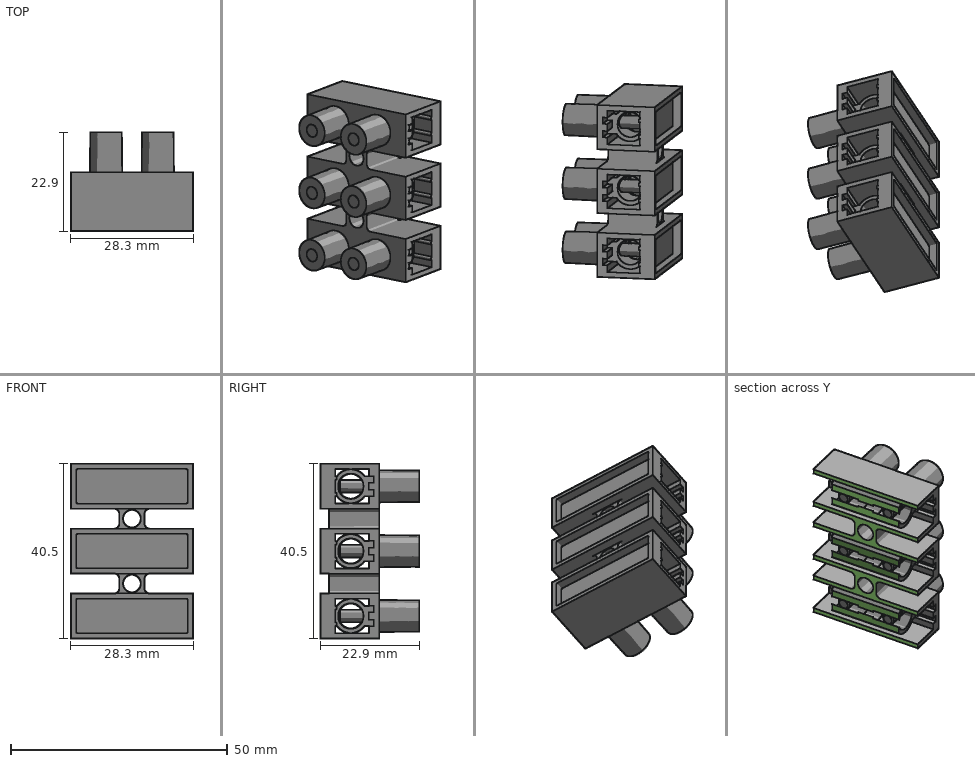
import cadquery as cq

overall_height = 40.45
overall_depth = 22.95
block_width = 28.3
block_depth = 13.68
pole_count = 3
pole_pitch = 15.0
block_height = overall_height - (pole_count - 1) * pole_pitch
wall = 1.2
pole_heights = [(i - (pole_count - 1) / 2) * pole_pitch for i in range(pole_count)]

label_height = block_height - 2 * wall
pocket_depth = 2.0
pocket_corner_radius = 0.4

web_width = 5.9
web_fillet = 1.15
web_gap = pole_pitch - block_height
mounting_hole_diameter = 4.05

passage_front = 3.48
passage_back = 11.2
passage_height = 7.95
groove_depth = 1.17
groove_span = 4.7
tongue_height = 1.65
rib_radius = 0.5
rib_projection = 0.32
rib_offset = 1.9

sleeve_inset = 5.0
sleeve_length = block_width - 2 * sleeve_inset
sleeve_axis_y = 7.05
sleeve_bore_diameter = 5.9
collar_bore_diameter = 5.7
collar_length = 4.05

screw_spacing = 11.98
screw_positions = [-screw_spacing / 2, screw_spacing / 2]
tower_base_diameter = 7.53
tower_top_diameter = 7.35
screw_diameter = 3.0
screw_tip_y = 4.3
screw_tip_chamfer = 0.35
screw_tip_diameter = screw_diameter - 2 * screw_tip_chamfer


def box(length, y_front, y_back, height):
    """Box centred on X and Z that spans y_front to y_back."""
    return cq.Workplane("XY").box(length, y_back - y_front, height).translate((0, (y_front + y_back) / 2, 0))


def rod_along_x(length, diameter, y, z=0):
    """Cylinder along X, centred on x = 0."""
    return cq.Workplane("YZ").center(y, z).circle(diameter / 2).extrude(length / 2, both=True)


def passage_grooves(length):
    """Two grooves behind the passage, with a tongue left between them."""
    groove_back = passage_back + groove_depth
    return box(length, passage_back, groove_back, groove_span).cut(
        box(length, passage_back, groove_back, tongue_height)
    )


def wire_passage(length):
    """Space of the wire passage: a square opening, two grooves and two ribs on the front wall."""
    passage = box(length, passage_front, passage_back, passage_height).union(passage_grooves(length))
    rib_y = passage_front + rib_projection - rib_radius
    for rib_z in (-rib_offset, rib_offset):
        passage = passage.cut(rod_along_x(length, 2 * rib_radius, rib_y, rib_z))
    return passage


def make_screw(x):
    """Plain screw with a chamfered tip, flush with the end of its tower."""
    shank_y = screw_tip_y + screw_tip_chamfer
    profile = [
        (0, screw_tip_y),
        (screw_tip_diameter / 2, screw_tip_y),
        (screw_diameter / 2, shank_y),
        (screw_diameter / 2, overall_depth),
        (0, overall_depth),
    ]
    screw = cq.Workplane("XY").polyline(profile).close().revolve(360, (0, 0, 0), (0, 1, 0))
    return screw.translate((x, 0, 0))


def sleeve_bore():
    """Space of the sleeve bore, slightly narrower inside the collar halfway along it."""
    half_length = sleeve_length / 2
    half_collar = collar_length / 2
    bore = rod_along_x(sleeve_length, collar_bore_diameter, sleeve_axis_y)
    for start in (-half_length, half_collar):
        mouth = (
            cq.Workplane("YZ", origin=(start, sleeve_axis_y, 0))
            .circle(sleeve_bore_diameter / 2)
            .extrude(half_length - half_collar)
        )
        bore = bore.union(mouth)
    return bore


def make_sleeve():
    """Round sleeve with a two-pronged foot, trimmed to the passage and pierced by the screws."""
    foot = box(sleeve_length, sleeve_axis_y, passage_back, groove_span)
    sleeve = (
        rod_along_x(sleeve_length, passage_height, sleeve_axis_y)
        .union(foot)
        .union(passage_grooves(sleeve_length))
        .intersect(wire_passage(sleeve_length))
        .cut(sleeve_bore())
    )
    for x in screw_positions:
        sleeve = sleeve.cut(make_screw(x))
    return sleeve


def make_tower(x):
    """Tapered tower on the back of a pole."""
    profile = [
        (0, block_depth),
        (tower_base_diameter / 2, block_depth),
        (tower_top_diameter / 2, overall_depth),
        (0, overall_depth),
    ]
    tower = cq.Workplane("XY").polyline(profile).close().revolve(360, (0, 0, 0), (0, 1, 0))
    return tower.translate((x, 0, 0))


def make_pole():
    """One pole of the housing, centred on z = 0."""
    label_pocket = (
        box(block_width - 2 * wall, 0, pocket_depth, label_height).edges("|Y").fillet(pocket_corner_radius)
    )
    pole = box(block_width, 0, block_depth, block_height).cut(label_pocket)
    for x in screw_positions:
        pole = pole.union(make_tower(x))
    pole = pole.cut(wire_passage(block_width))
    for x in screw_positions:
        pole = pole.cut(make_screw(x))
    return pole


def make_web():
    """Web between two poles, flared where it meets them, with a mounting hole along Y."""
    web = box(web_width + 2 * web_fillet, pocket_depth, block_depth, web_gap)
    notch = (
        box(2 * web_fillet, pocket_depth, block_depth, web_gap)
        .edges("|Y")
        .edges("<X")
        .fillet(web_fillet)
        .translate((web_width / 2 + web_fillet, 0, 0))
    )
    hole = cq.Workplane("XZ").circle(mounting_hole_diameter / 2).extrude(-block_depth)
    return web.cut(notch).cut(notch.mirror("YZ")).cut(hole)


def make_housing():
    """All poles joined by webs into one moulding."""
    pole = make_pole()
    web = make_web()
    housing = pole.translate((0, 0, pole_heights[0]))
    for z in pole_heights[1:]:
        housing = housing.union(web.translate((0, 0, z - pole_pitch / 2)))
        housing = housing.union(pole.translate((0, 0, z)))
    return housing


housing = make_housing()
sleeves = [make_sleeve().translate((0, 0, z)) for z in pole_heights]
screws = [make_screw(x).translate((0, 0, z)) for z in pole_heights for x in screw_positions]

result = cq.Compound.makeCompound(
    [housing.val(), *[sleeve.val() for sleeve in sleeves], *[screw.val() for screw in screws]]
)